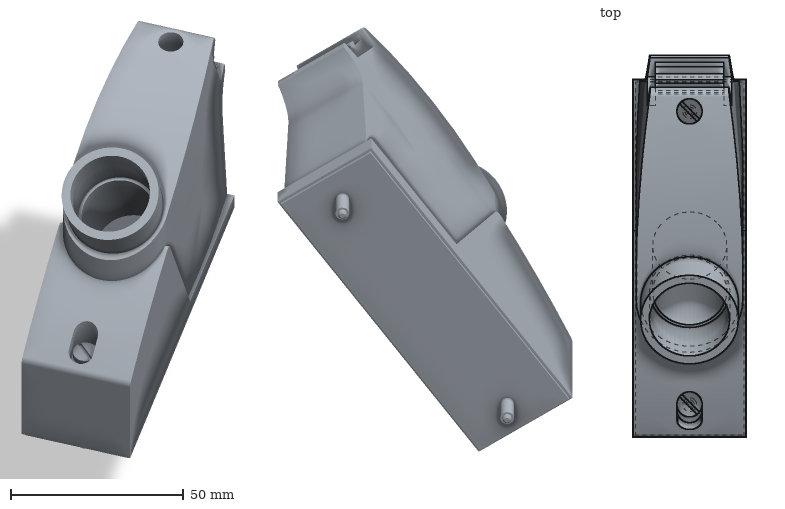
import cadquery as cq
import math


hood_width = 33.0
skirt_length = 104.0
skirt_top = 6.2
rim_height = 1.0
rim_inset = 0.8
lean = 25.0
lean_run = math.tan(math.radians(lean))

front_edge_height = 32.3
front_top_mid = (17.9, 43.1)
front_top_rear = (38.8, 52.2)
front_edge_radius = 2.1
rear_corner_radius = 2.2
shoulder_foot = 59.9

shell_half_width = 15.5
shell_top = 76.3
shell_top_radius = 153.2
shell_crest = 102.1
shell_rear = 103.5
collar_radius = 15.5
collar_center = 40.3
side_radius = 444.0
side_crest = 75.5
side_span = 71.0

lip_radius = 10.5
lip_bend_start = 40.7
lip_end = 111.0
latch_half_width = 10.0
latch_back = 94.4
top_rear = 99.0
brow_round_mid = (100.0, 75.9)
brow_round_end = (100.7, 75.1)
latch_notch = [
    (101.7, 73.4),
    (100.7, 72.7),
    (96.5, 69.6),
    (104.8, 52.8),
    (110.3, 54.3),
    (lip_end, 53.1),
]
latch_face = [
    (100.8, 72.4),
    (99.8, 71.0),
    (102.8, 64.2),
    (103.9, 64.8),
    (105.7, 61.6),
    (104.7, 61.0),
    (107.7, 54.6),
    (109.0, 54.6),
    (109.0, 52.2),
]

tube_mouth = (34.2, 73.5)
tube_radius = 14.2
tube_length = 24.4
tube_bore_radius = 11.7
tube_bore_depth = 19.5
cable_bore_radius = 10.8
cable_bore_depth = 51.1

screw_spots = (9.5, 94.7)
screw_hole_radius = 3.7
access_offset = 1.7
screw_floors = (29.6, 55.5)
screw_head_height = 1.8
screw_slot_width = 1.0
screw_slot_angle = -45.0
screw_slot_depth = 0.9
pin_radius = 2.0
pin_end = -9.0
pin_neck_height = 1.2
pin_neck_radius = 1.3
pin_tip_height = 0.5
pin_tip_radius = 0.8


def side_plate(outline, half_width):
    """Extrude a YZ outline symmetrically about X = 0."""
    return outline.close().extrude(half_width, both=True)


def leaning_prism(outline, height):
    """Raise a horizontal outline by a height while it shifts forward with the lean."""
    return cq.Solid.extrudeLinear(outline, [], cq.Vector(0, -height * lean_run, height))


def shell_top_at(y):
    """Height of the shell's top arc at a given Y."""
    rise = math.sqrt(shell_top_radius**2 - (shell_crest - y) ** 2)
    return shell_top - shell_top_radius + rise


def make_skirt():
    rim = cq.Workplane("XY", origin=(0, rim_inset, 0)).box(
        hood_width - 2 * rim_inset, skirt_length - 2 * rim_inset, skirt_top, centered=(True, False, False)
    )
    skirt = cq.Workplane("XY", origin=(0, 0, rim_height)).box(
        hood_width, skirt_length, skirt_top - rim_height, centered=(True, False, False)
    )
    return skirt.union(rim)


def make_front_block():
    outline = (
        cq.Workplane("YZ")
        .moveTo(0, rim_height)
        .lineTo(0, front_edge_height)
        .threePointArc(front_top_mid, front_top_rear)
        .lineTo(shoulder_foot, skirt_top)
        .lineTo(shoulder_foot, rim_height)
    )
    block = side_plate(outline, hood_width / 2)
    front_edge = cq.selectors.NearestToPointSelector((0, 0, front_edge_height))
    rear_corner = cq.selectors.NearestToPointSelector((0, *front_top_rear))
    return block.edges(front_edge).fillet(front_edge_radius).edges(rear_corner).fillet(rear_corner_radius)


def make_shell_profile():
    collar_front = collar_center - collar_radius
    lip_drop = lip_end - shell_rear
    lip_rise = math.sqrt(lip_radius**2 - (lip_radius - lip_drop) ** 2)
    half_rise = lip_rise / 2
    lip_mid = (
        shell_rear + lip_radius - math.sqrt(lip_radius**2 - half_rise**2),
        lip_bend_start + half_rise,
    )
    top_mid = (top_rear + collar_front) / 2
    outline = (
        cq.Workplane("YZ")
        .moveTo(collar_front, rim_height)
        .lineTo(collar_front, shell_top_at(collar_front))
        .threePointArc((top_mid, shell_top_at(top_mid)), (top_rear, shell_top_at(top_rear)))
        .threePointArc(brow_round_mid, brow_round_end)
        .polyline(latch_notch, includeCurrent=True)
        .lineTo(lip_end, lip_bend_start + lip_rise)
        .threePointArc(lip_mid, (shell_rear, lip_bend_start))
        .lineTo(shell_rear, rim_height)
    )
    return side_plate(outline, hood_width / 2)


def make_latch_block():
    outline = cq.Workplane("YZ").polyline(
        [(latch_back, latch_face[0][1])] + latch_face + [(latch_back, latch_face[-1][1])]
    )
    return side_plate(outline, latch_half_width)


def make_shell_sides():
    """Leaning prism whose two sides bulge outward as shallow arcs."""
    bulge = side_radius - math.sqrt(side_radius**2 - side_span**2)
    end_half_width = shell_half_width - bulge
    front = side_crest - side_span
    rear = side_crest + side_span
    outline = (
        cq.Workplane("XY")
        .moveTo(end_half_width, front)
        .threePointArc((shell_half_width, side_crest), (end_half_width, rear))
        .lineTo(-end_half_width, rear)
        .threePointArc((-shell_half_width, side_crest), (-end_half_width, front))
        .close()
        .wire()
        .val()
    )
    return cq.Workplane("XY").add(leaning_prism(outline, shell_top))


def make_shell():
    collar = cq.Workplane("XY").center(0, collar_center).circle(collar_radius).extrude(shell_top)
    behind_collar = cq.Workplane("XY", origin=(0, collar_center, 0)).box(
        hood_width, lip_end, shell_top, centered=(True, False, False)
    )
    plan = collar.union(behind_collar)
    return make_shell_profile().intersect(make_shell_sides()).intersect(plan).union(make_latch_block())


def along_entry(radius, depth):
    """Cylinder running from the tube mouth into the hood."""
    angle = math.radians(lean)
    inward = cq.Vector(0, math.sin(angle), -math.cos(angle))
    return cq.Workplane("XY").add(
        cq.Solid.makeCylinder(radius, depth, cq.Vector(0, *tube_mouth), inward)
    )


def screw_hole(y, floor):
    """Vertical bore open at the top of the hood."""
    return cq.Workplane("XY", origin=(0, y, floor)).circle(screw_hole_radius).extrude(shell_top)


def screw_head(y, floor):
    """Slotted head standing on the floor of its hole."""
    head = cq.Workplane("XY", origin=(0, y, floor)).circle(screw_hole_radius).extrude(screw_head_height)
    slot = (
        cq.Workplane("XY")
        .box(2 * screw_hole_radius, screw_slot_width, screw_slot_depth, centered=(True, True, False))
        .rotate((0, 0, 0), (0, 0, 1), screw_slot_angle)
        .translate((0, y, floor + screw_head_height - screw_slot_depth))
    )
    return head.cut(slot)


def driver_access():
    """Leaning passage, as wide as the front screw hole, that opens it toward the front wall."""
    screw_y = screw_spots[0]
    access_floor = screw_floors[0]
    start = screw_y - access_offset
    shift = (shell_top - access_floor) * lean_run
    floor = cq.Workplane("XY", origin=(0, start, access_floor)).circle(screw_hole_radius).wire().val()
    passage = cq.Workplane("XY").add(leaning_prism(floor, shell_top - access_floor))
    between = cq.Workplane("YZ").polyline(
        [(start, access_floor), (start - shift, shell_top), (screw_y, shell_top), (screw_y, access_floor)]
    )
    return passage.union(side_plate(between, screw_hole_radius))


def screw_pin(y):
    """Stepped shank end standing out below the rim."""
    return (
        cq.Workplane("XZ", origin=(0, y, 0))
        .moveTo(0, rim_height)
        .lineTo(pin_radius, rim_height)
        .lineTo(pin_radius, pin_end + pin_neck_height)
        .lineTo(pin_neck_radius, pin_end + pin_neck_height)
        .lineTo(pin_neck_radius, pin_end + pin_tip_height)
        .lineTo(pin_tip_radius, pin_end)
        .lineTo(0, pin_end)
        .close()
        .revolve(360, (0, 0, 0), (0, 1, 0))
    )


result = make_skirt().union(make_front_block()).union(make_shell())
result = result.union(along_entry(tube_radius, tube_length))
result = result.cut(along_entry(tube_bore_radius, tube_bore_depth))
result = result.cut(along_entry(cable_bore_radius, cable_bore_depth))
result = result.cut(driver_access())
for spot, floor in zip(screw_spots, screw_floors):
    result = result.cut(screw_hole(spot, floor)).union(screw_head(spot, floor)).union(screw_pin(spot))